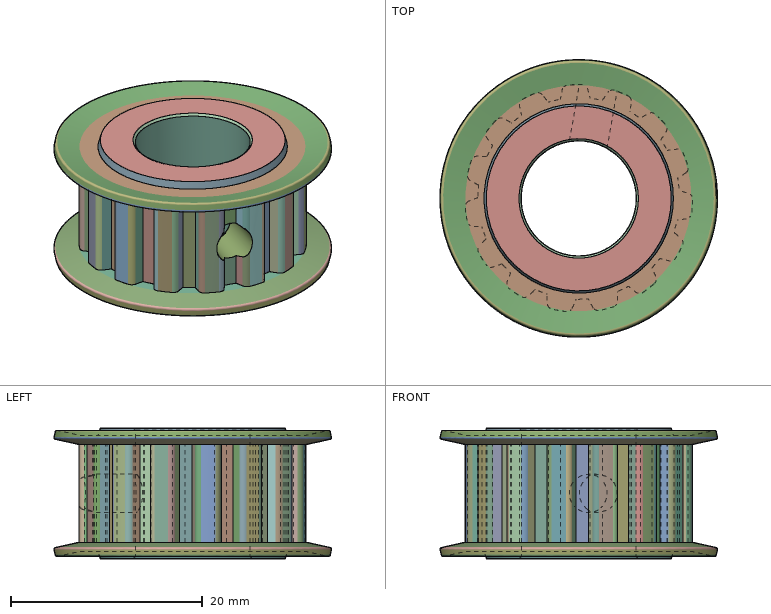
import cadquery as cq
import math

overall_height = 13.65
half_height = overall_height / 2

bore_radius = 6.0
bore_chamfer = 0.23

flange_radius = 14.48
flange_thickness = 0.95
flange_flare_angle = 12.5
flange_bend_radius = 11.8
flange_rim_fillet = 0.2
belt_half_width = 5.1

hub_top_radius = 9.65
hub_base_radius = 9.88

groove_count = 15
tooth_tip_radius = 11.87
groove_depth = 1.35
groove_floor_width = 1.3
groove_flank_angle = 25.0
tooth_edge_fillet = 0.65
first_groove_angle = 8.0

screw_hole_diameter = 4.0
screw_hole_groove = 3

groove_pitch_angle = 360 / groove_count


def make_toothed_core():
    """Cylinder with trapezoidal belt grooves and rounded tooth edges."""
    core_height = 2 * belt_half_width
    core = cq.Workplane("XY").circle(tooth_tip_radius).extrude(core_height)
    floor_radius = tooth_tip_radius - groove_depth
    mouth_radius = tooth_tip_radius + groove_depth
    floor_half = groove_floor_width / 2
    flank_slope = math.tan(math.radians(groove_flank_angle))
    mouth_half = floor_half + (mouth_radius - floor_radius) * flank_slope
    groove = (
        cq.Workplane("XY")
        .polyline([
            (floor_radius, -floor_half),
            (mouth_radius, -mouth_half),
            (mouth_radius, mouth_half),
            (floor_radius, floor_half),
        ])
        .close()
        .extrude(core_height)
    )
    for index in range(groove_count):
        angle = first_groove_angle + index * groove_pitch_angle
        core = core.cut(groove.rotate((0, 0, 0), (0, 0, 1), angle))

    middle_radius = tooth_tip_radius - groove_depth / 2
    tip_edges = [
        edge for edge in core.edges("|Z").vals()
        if math.hypot(edge.Center().x, edge.Center().y) > middle_radius
    ]
    core = core.newObject(tip_edges).fillet(tooth_edge_fillet)
    return core.translate((0, 0, -belt_half_width))


def make_flange():
    """Upper dished flange as a full disc; its rim is square to the flared faces."""
    flare = math.radians(flange_flare_angle)
    top_z = belt_half_width + flange_thickness
    corner_overshoot = flange_rim_fillet * (math.cos(flare) + math.sin(flare) - 1)
    rim_low_radius = flange_radius + corner_overshoot
    rim_high_radius = rim_low_radius - flange_thickness * math.sin(flare)
    low_bend_radius = flange_bend_radius + flange_thickness * math.tan(flare / 2)
    rim_low_z = belt_half_width + (rim_low_radius - low_bend_radius) * math.tan(flare)
    rim_high_z = rim_low_z + flange_thickness * math.cos(flare)
    flange = (
        cq.Workplane("XZ")
        .moveTo(0, belt_half_width)
        .lineTo(low_bend_radius, belt_half_width)
        .lineTo(rim_low_radius, rim_low_z)
        .lineTo(rim_high_radius, rim_high_z)
        .lineTo(flange_bend_radius, top_z)
        .lineTo(0, top_z)
        .close()
        .revolve(360, (0, 0, 0), (0, 1, 0))
    )
    largest_circle = cq.selectors.RadiusNthSelector(-1)
    second_largest_circle = cq.selectors.RadiusNthSelector(-2)
    rim_edges = flange.edges("%CIRCLE").edges(largest_circle + second_largest_circle)
    return rim_edges.fillet(flange_rim_fillet)


def make_hub_end():
    """Upper tapered collar, standing on the flat of the flange."""
    base_z = belt_half_width + flange_thickness
    return (
        cq.Workplane("XZ")
        .moveTo(0, base_z)
        .lineTo(hub_base_radius, base_z)
        .lineTo(hub_top_radius, half_height)
        .lineTo(0, half_height)
        .close()
        .revolve(360, (0, 0, 0), (0, 1, 0))
    )


def make_bore():
    """Through bore with a chamfer at each end, as a solid to remove."""
    mouth_radius = bore_radius + bore_chamfer
    chamfer_start = half_height - bore_chamfer
    return (
        cq.Workplane("XZ")
        .moveTo(0, -half_height)
        .lineTo(mouth_radius, -half_height)
        .lineTo(bore_radius, -chamfer_start)
        .lineTo(bore_radius, chamfer_start)
        .lineTo(mouth_radius, half_height)
        .lineTo(0, half_height)
        .close()
        .revolve(360, (0, 0, 0), (0, 1, 0))
    )


def make_screw_hole():
    """Radial hole from the bore out through one belt groove, as a solid to remove."""
    angle = first_groove_angle + screw_hole_groove * groove_pitch_angle
    return (
        cq.Workplane("YZ")
        .circle(screw_hole_diameter / 2)
        .extrude(flange_radius)
        .rotate((0, 0, 0), (0, 0, 1), angle)
    )


end_assembly = make_flange().union(make_hub_end())
result = (
    make_toothed_core()
    .union(end_assembly)
    .union(end_assembly.mirror("XY"))
    .cut(make_bore())
    .cut(make_screw_hole())
)